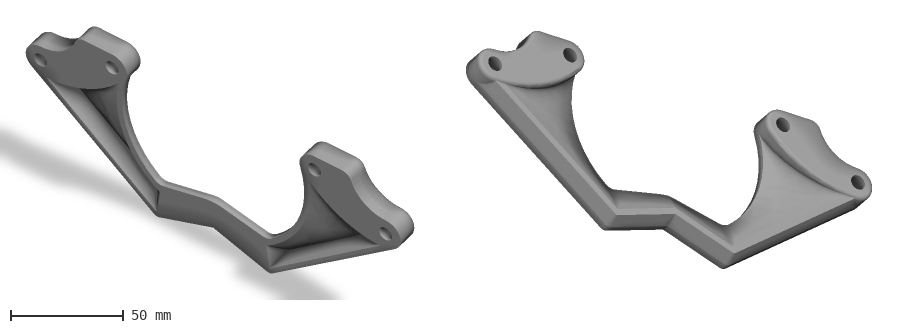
import cadquery as cq
import math

HALF_WIDTH = 102.9
PAD_THICKNESS = 11.5
LOBE_RADIUS = 8.2
HOLE_DIAMETER = 7.2
OUTER_HOLE = (LOBE_RADIUS - HALF_WIDTH, 60.0)
INNER_HOLE = (-55.5, 77.3)
SCALLOP_RADIUS = 20.0
SHOULDER_RADIUS = 5.5
PAD_EDGE_ROUND = 1.9

BORE_CENTRE = (0.0, OUTER_HOLE[1])
OUTER_EDGE_ANGLE = 38.2
BRIDGE_TOP_ANGLE = 12.9
BRIDGE_BOTTOM_ANGLE = 19.2
BRIDGE_PEAK_Z = 26.7
PEAK_ROUND_REACH = 5.5
BRIDGE_NOTCH_Z = 10.5
THROAT_RADIUS = 6.0
TIP_RADIUS = 3.0

RIM_DEPTH = 3.7
RIDGE_DEPTH = 10.5
RIDGE_INSET = 2.5
RIDGE_WIDTH = 3.0
RIDGE_TIP_RADIUS = TIP_RADIUS / 2

POCKET_DEPTH = 7.8
RIM_WIDTH = 3.0
POCKET_OUTER = (-91.3, 51.0)
POCKET_TOP_Z = 69.7
POCKET_THROAT_X = -29.0
POCKET_TIP = (-31.0, 2.9)
POCKET_ARC_MID = (-65.2, 58.8)
KEEL_OUTER = (-79.5, 45.9)
KEEL_INNER = (-36.0, 11.1)


def polar(centre, radius, degrees):
    angle = math.radians(degrees)
    return (centre[0] + radius * math.cos(angle), centre[1] + radius * math.sin(angle))


def towards(start, end, distance):
    """Point at a distance from start, on the line from start to end."""
    share = distance / math.dist(start, end)
    return (start[0] + share * (end[0] - start[0]), start[1] + share * (end[1] - start[1]))


def arc_middle(centre, start, end):
    """Middle of the shorter arc from start to end about a centre."""
    chord_middle = ((start[0] + end[0]) / 2, (start[1] + end[1]) / 2)
    return towards(centre, chord_middle, math.dist(centre, start))


def crossing(point_a, degrees_a, point_b, degrees_b):
    """Crossing of two lines, each given by a point and a slope angle."""
    slope_a = math.tan(math.radians(degrees_a))
    slope_b = math.tan(math.radians(degrees_b))
    x = (point_b[1] - point_a[1] + slope_a * point_a[0] - slope_b * point_b[0]) / (slope_a - slope_b)
    return (x, point_a[1] + slope_a * (x - point_a[0]))


BORE_RADIUS = math.dist(BORE_CENTRE, INNER_HOLE) - LOBE_RADIUS
LOBE_TO_BORE = towards(INNER_HOLE, BORE_CENTRE, LOBE_RADIUS)

OUTER_EDGE_START = polar(OUTER_HOLE, LOBE_RADIUS, 270 - OUTER_EDGE_ANGLE)

PEAK = (0.0, BRIDGE_PEAK_Z)
NOTCH = (0.0, BRIDGE_NOTCH_Z)


def throat_round():
    """Start, middle and end of the round between the bore and the top of the bridge."""
    slope = math.radians(BRIDGE_TOP_ANGLE)
    drop = (BORE_CENTRE[1] - PEAK[1]) * math.cos(slope) - THROAT_RADIUS
    foot = polar(BORE_CENTRE, drop, BRIDGE_TOP_ANGLE - 90)
    along = math.sqrt((BORE_RADIUS - THROAT_RADIUS) ** 2 - drop**2)
    centre = polar(foot, along, BRIDGE_TOP_ANGLE + 180)
    start = towards(BORE_CENTRE, centre, BORE_RADIUS)
    end = polar(centre, THROAT_RADIUS, BRIDGE_TOP_ANGLE - 90)
    return start, arc_middle(centre, start, end), end


def tip_round(corner, radius):
    """Start, middle and end of the round at the lower tip, from bridge to outer edge."""
    half_turn = (OUTER_EDGE_ANGLE + BRIDGE_BOTTOM_ANGLE) / 2
    setback = radius * math.tan(math.radians(half_turn))
    start = polar(corner, setback, BRIDGE_BOTTOM_ANGLE)
    end = polar(corner, setback, 180 - OUTER_EDGE_ANGLE)
    centre = polar(start, radius, BRIDGE_BOTTOM_ANGLE + 90)
    return start, arc_middle(centre, start, end), end


def frame_outline(depth):
    """Outline of the arm and bridge half, on the plane at a depth behind the front."""
    throat_start, throat_middle, throat_end = throat_round()
    tip = crossing(OUTER_EDGE_START, -OUTER_EDGE_ANGLE, NOTCH, BRIDGE_BOTTOM_ANGLE)
    tip_start, tip_middle, tip_end = tip_round(tip, TIP_RADIUS)
    return (
        cq.Workplane("XZ", origin=(0, depth, 0))
        .moveTo(*OUTER_EDGE_START)
        .lineTo(*LOBE_TO_BORE)
        .threePointArc(arc_middle(BORE_CENTRE, LOBE_TO_BORE, throat_start), throat_start)
        .threePointArc(throat_middle, throat_end)
        .lineTo(*PEAK)
        .lineTo(*NOTCH)
        .lineTo(*tip_start)
        .threePointArc(tip_middle, tip_end)
        .close()
    )


def ridge_outline():
    """Narrow strip along the outer edge and the bottom of the bridge, at the back of the taper."""
    outer_low = polar(OUTER_EDGE_START, RIDGE_INSET, 90 - OUTER_EDGE_ANGLE)
    outer_high = polar(outer_low, RIDGE_WIDTH, 90 - OUTER_EDGE_ANGLE)
    bridge_tilt = math.cos(math.radians(BRIDGE_BOTTOM_ANGLE))
    notch_low = (0.0, BRIDGE_NOTCH_Z + RIDGE_INSET / bridge_tilt)
    notch_high = (0.0, notch_low[1] + RIDGE_WIDTH / bridge_tilt)
    tip = crossing(outer_low, -OUTER_EDGE_ANGLE, notch_low, BRIDGE_BOTTOM_ANGLE)
    tip_start, tip_middle, tip_end = tip_round(tip, RIDGE_TIP_RADIUS)
    bend = crossing(outer_high, -OUTER_EDGE_ANGLE, notch_high, BRIDGE_BOTTOM_ANGLE)
    bend_start, bend_middle, bend_end = tip_round(bend, RIDGE_TIP_RADIUS)
    return (
        cq.Workplane("XZ", origin=(0, RIDGE_DEPTH, 0))
        .moveTo(*outer_low)
        .lineTo(*outer_high)
        .lineTo(*bend_end)
        .threePointArc(bend_middle, bend_start)
        .lineTo(*notch_high)
        .lineTo(*notch_low)
        .lineTo(*tip_start)
        .threePointArc(tip_middle, tip_end)
        .close()
    )


def make_peak_trim():
    """Waste above the round that blunts the peak of the bridge."""
    slope = math.radians(BRIDGE_TOP_ANGLE)
    start = (-PEAK_ROUND_REACH, BRIDGE_PEAK_Z - PEAK_ROUND_REACH * math.tan(slope))
    radius = PEAK_ROUND_REACH / math.sin(slope)
    centre = (0.0, start[1] - radius * math.cos(slope))
    crest = (0.0, centre[1] + radius)
    return (
        cq.Workplane("XZ")
        .moveTo(*start)
        .threePointArc(arc_middle(centre, start, crest), crest)
        .lineTo(*PEAK)
        .close()
        .extrude(-RIDGE_DEPTH)
    )


def make_frame():
    rim = frame_outline(0).extrude(-RIM_DEPTH)
    taper_wires = [frame_outline(RIM_DEPTH).wires().val(), ridge_outline().wires().val()]
    taper = cq.Solid.makeLoft(taper_wires, True)
    return rim.union(cq.Workplane(taper)).cut(make_peak_trim())


def make_pad():
    scallop_centre = (OUTER_HOLE[0], OUTER_HOLE[1] + LOBE_RADIUS + SCALLOP_RADIUS)
    top = INNER_HOLE[1] + LOBE_RADIUS
    shoulder_z = top - SHOULDER_RADIUS
    reach = SCALLOP_RADIUS + SHOULDER_RADIUS
    shoulder_x = scallop_centre[0] + math.sqrt(reach**2 - (scallop_centre[1] - shoulder_z) ** 2)
    shoulder_centre = (shoulder_x, shoulder_z)
    scallop_start = (OUTER_HOLE[0], OUTER_HOLE[1] + LOBE_RADIUS)
    scallop_end = towards(scallop_centre, shoulder_centre, SCALLOP_RADIUS)
    shoulder_end = (shoulder_x, top)
    across = INNER_HOLE[0] - OUTER_HOLE[0]
    rise = INNER_HOLE[1] - OUTER_HOLE[1]
    belly_centre = (OUTER_HOLE[0], OUTER_HOLE[1] + (across**2 + rise**2) / (2 * rise))
    belly_radius = belly_centre[1] - OUTER_HOLE[1] + LOBE_RADIUS
    belly_start = towards(belly_centre, INNER_HOLE, belly_radius)
    belly_end = (OUTER_HOLE[0], OUTER_HOLE[1] - LOBE_RADIUS)
    pad = (
        cq.Workplane("XZ")
        .moveTo(*belly_end)
        .threePointArc((OUTER_HOLE[0] - LOBE_RADIUS, OUTER_HOLE[1]), scallop_start)
        .threePointArc(arc_middle(scallop_centre, scallop_start, scallop_end), scallop_end)
        .threePointArc(arc_middle(shoulder_centre, scallop_end, shoulder_end), shoulder_end)
        .lineTo(INNER_HOLE[0], top)
        .threePointArc(polar(INNER_HOLE, LOBE_RADIUS, 0), belly_start)
        .threePointArc(arc_middle(belly_centre, belly_start, belly_end), belly_end)
        .close()
        .extrude(-PAD_THICKNESS)
    )
    return pad.faces(">Y").edges().fillet(PAD_EDGE_ROUND)


def make_pocket():
    """Hollow whose four walls run from the front rim down to a straight keel line."""
    rim_radius = BORE_RADIUS + RIM_WIDTH
    top_x = BORE_CENTRE[0] - math.sqrt(rim_radius**2 - (POCKET_TOP_Z - BORE_CENTRE[1]) ** 2)
    throat_z = BORE_CENTRE[1] - math.sqrt(rim_radius**2 - (POCKET_THROAT_X - BORE_CENTRE[0]) ** 2)
    pocket_top = (top_x, POCKET_TOP_Z)
    throat = (POCKET_THROAT_X, throat_z)

    def at(point, depth):
        return cq.Vector(point[0], depth, point[1])

    outer, top, neck, tip = (at(p, 0) for p in (POCKET_OUTER, pocket_top, throat, POCKET_TIP))
    keel_outer = at(KEEL_OUTER, POCKET_DEPTH)
    keel_inner = at(KEEL_INNER, POCKET_DEPTH)
    line = cq.Edge.makeLine
    pad_arc = cq.Edge.makeThreePointArc(outer, at(POCKET_ARC_MID, 0), top)
    bore_arc = cq.Edge.makeThreePointArc(top, at(arc_middle(BORE_CENTRE, pocket_top, throat), 0), neck)
    keel = line(keel_outer, keel_inner)
    end_edge = line(neck, tip)
    outer_edge = line(tip, outer)
    outer_rib = line(outer, keel_outer)
    top_rib = line(top, keel_outer)
    neck_rib = line(neck, keel_inner)
    tip_rib = line(tip, keel_inner)
    walls = [
        cq.Face.makeNSidedSurface([pad_arc, top_rib, outer_rib], []),
        cq.Face.makeNSidedSurface([bore_arc, neck_rib, keel, top_rib], []),
        cq.Face.makeNSidedSurface([end_edge, tip_rib, neck_rib], []),
        cq.Face.makeNSidedSurface([outer_edge, outer_rib, keel, tip_rib], []),
        cq.Face.makeFromWires(cq.Wire.assembleEdges([pad_arc, bore_arc, end_edge, outer_edge])),
    ]
    return cq.Workplane(cq.Solid.makeSolid(cq.Shell.makeShell(walls)))


def make_holes():
    return (
        cq.Workplane("XZ")
        .pushPoints([OUTER_HOLE, INNER_HOLE])
        .circle(HOLE_DIAMETER / 2)
        .extrude(-PAD_THICKNESS)
    )


def make_half_bracket():
    return make_frame().union(make_pad()).cut(make_pocket()).cut(make_holes()).solids()


left_bracket = make_half_bracket()
right_bracket = left_bracket.mirror("YZ")

result = cq.Compound.makeCompound([left_bracket.val(), right_bracket.val()])